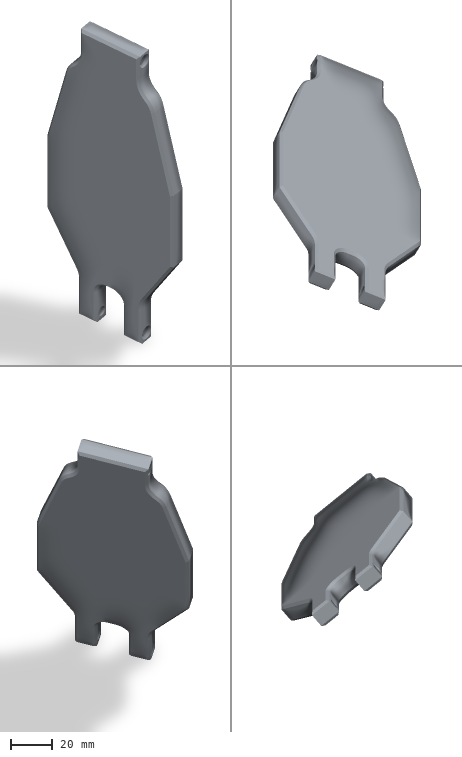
import cadquery as cq
import math

HEIGHT = 177.8
WIDTH = 76.3
THICKNESS = 9.6
EDGE_CHAMFER = 1.33

HALF_WIDTH = WIDTH / 2
HEAD_HALF_WIDTH = 17.8
LEG_HALF_WIDTH = 19.0
LEG_TOP = 25.5
SIDE_BOTTOM = 57.0
SIDE_TOP = 101.5
TAPER_SLOPE = 0.25
NECK_TOP = 164.0
BLEND_RADIUS = 12.6

SLOT_WIDTH = 16.0
SLOT_HEIGHT = 25.5
SLOT_RADIUS = 6.4

HOLE_DIAMETER = 5.2
COUNTERSINK_DIAMETER = 7.3
HOLE_EDGE_DISTANCE = 4.8


def s_bend_arcs():
    """S-bend at +X as two tangent arcs.

    The neck arc is its start, midpoint and end.
    The shoulder arc starts at that end and is its midpoint and end.
    """
    taper = math.atan(TAPER_SLOPE)
    neck_x = HEAD_HALF_WIDTH + BLEND_RADIUS

    side_x = HALF_WIDTH - TAPER_SLOPE * (NECK_TOP - SIDE_TOP)
    neck_offset = (neck_x - side_x) * math.cos(taper)
    turn = taper + math.acos((neck_offset + BLEND_RADIUS) / (2 * BLEND_RADIUS))

    shoulder_x = neck_x - 2 * BLEND_RADIUS * math.cos(turn)
    shoulder_z = NECK_TOP - 2 * BLEND_RADIUS * math.sin(turn)

    def neck_point(angle):
        return (neck_x - BLEND_RADIUS * math.cos(angle), NECK_TOP - BLEND_RADIUS * math.sin(angle))

    def shoulder_point(angle):
        return (shoulder_x + BLEND_RADIUS * math.cos(angle), shoulder_z + BLEND_RADIUS * math.sin(angle))

    neck_arc = (neck_point(0), neck_point(turn / 2), neck_point(turn))
    shoulder_arc = (shoulder_point((turn + taper) / 2), shoulder_point(taper))
    return neck_arc, shoulder_arc


def make_body():
    """Mirror-symmetric plate, centred on the XZ plane, without slot, chamfers or holes."""
    neck_arc, shoulder_arc = s_bend_arcs()
    half = (
        cq.Workplane("XZ", origin=(0, THICKNESS / 2, 0))
        .moveTo(0, HEIGHT)
        .lineTo(HEAD_HALF_WIDTH, HEIGHT)
        .lineTo(*neck_arc[0])
        .threePointArc(neck_arc[1], neck_arc[2])
        .threePointArc(shoulder_arc[0], shoulder_arc[1])
        .lineTo(HALF_WIDTH, SIDE_TOP)
        .lineTo(HALF_WIDTH, SIDE_BOTTOM)
        .lineTo(LEG_HALF_WIDTH, LEG_TOP)
        .lineTo(LEG_HALF_WIDTH, 0)
        .lineTo(0, 0)
        .close()
        .extrude(THICKNESS)
    )
    leg_corner = cq.selectors.NearestToPointSelector((LEG_HALF_WIDTH, 0, LEG_TOP))
    half = half.edges("|Y").edges(leg_corner).fillet(BLEND_RADIUS)
    return half.union(half.mirror("YZ"), clean=True)


def make_slot():
    """Slot open at the bottom, with rounded upper corners."""
    return (
        cq.Workplane("XY")
        .box(SLOT_WIDTH, THICKNESS, SLOT_HEIGHT, centered=(True, True, False))
        .edges("|Y and >Z")
        .fillet(SLOT_RADIUS)
    )


def make_cross_hole(z, half_length):
    """Hole along X between the two outer side faces, with a 45 degree countersink at each end."""
    hole_radius = HOLE_DIAMETER / 2
    countersink_radius = COUNTERSINK_DIAMETER / 2
    countersink_start = half_length - (countersink_radius - hole_radius)
    return (
        cq.Workplane("XY", origin=(0, 0, z))
        .moveTo(-half_length, 0)
        .lineTo(-half_length, countersink_radius)
        .lineTo(-countersink_start, hole_radius)
        .lineTo(countersink_start, hole_radius)
        .lineTo(half_length, countersink_radius)
        .lineTo(half_length, 0)
        .close()
        .revolve(360, (0, 0, 0), (1, 0, 0))
    )


plate = make_body().cut(make_slot()).faces("<Y or >Y").chamfer(EDGE_CHAMFER)
head_hole = make_cross_hole(HEIGHT - HOLE_EDGE_DISTANCE, HEAD_HALF_WIDTH)
leg_holes = make_cross_hole(HOLE_EDGE_DISTANCE, LEG_HALF_WIDTH)

result = plate.cut(head_hole).cut(leg_holes)